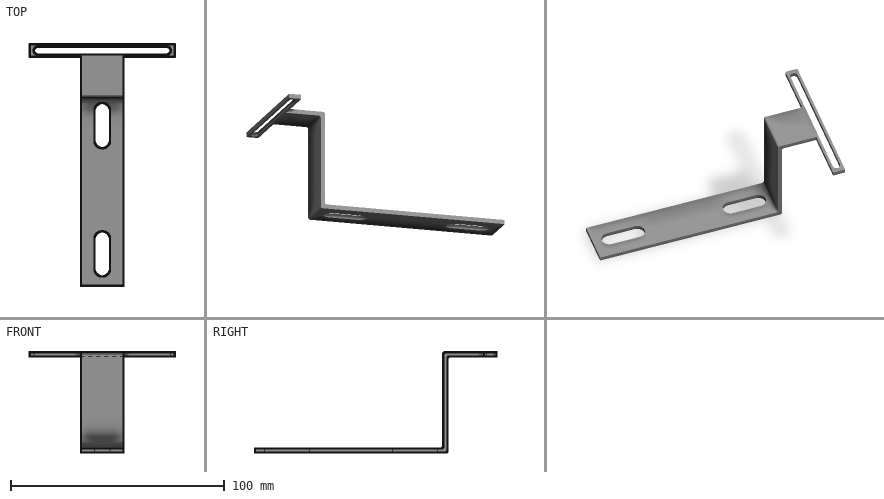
import cadquery as cq

length = 113.0
height = 47.0
crossbar_length = 68.0

thickness = 2.0
strip_width = 20.0
upper_flange_length = 25.0
bend_radius = 1.0

crossbar_depth = 6.0
crossbar_corner_radius = 0.5
crossbar_slot_length = 64.0
crossbar_slot_width = 3.5

slot_length = 21.0
slot_width = 7.2
slot_spacing = 60.0
first_slot_center = 14.9

wall_front = length - upper_flange_length
wall_back = wall_front + thickness
upper_underside = height - thickness
crossbar_center = length - crossbar_depth / 2


def make_strip():
    """Z-shaped strip with every bend rounded inside and outside."""
    profile = [
        (0, 0),
        (wall_back, 0),
        (wall_back, upper_underside),
        (length, upper_underside),
        (length, height),
        (wall_front, height),
        (wall_front, thickness),
        (0, thickness),
    ]
    strip = cq.Workplane("YZ").polyline(profile).close().extrude(strip_width / 2, both=True)
    bend_edges = cq.selectors.BoxSelector(
        (-strip_width, wall_front - thickness, -thickness),
        (strip_width, wall_back + thickness, height + thickness),
    )
    return strip.edges("|X").edges(bend_edges).fillet(bend_radius)


def make_crossbar():
    """Flat bar across the end of the upper flange, with rounded corners."""
    return (
        cq.Workplane("XY", origin=(0, crossbar_center, upper_underside))
        .rect(crossbar_length, crossbar_depth)
        .extrude(thickness)
        .edges("|Z")
        .fillet(crossbar_corner_radius)
    )


def make_slot_cutter(center_y, bottom_z, slot_size, width, angle):
    """Round-ended cutter as deep as the sheet; an angle of 0 runs along X."""
    return (
        cq.Workplane("XY", origin=(0, center_y, bottom_z))
        .slot2D(slot_size, width, angle)
        .extrude(thickness)
    )


result = make_strip().union(make_crossbar())
result = result.cut(
    make_slot_cutter(crossbar_center, upper_underside, crossbar_slot_length, crossbar_slot_width, 0)
)
for slot_center in (first_slot_center, first_slot_center + slot_spacing):
    result = result.cut(make_slot_cutter(slot_center, 0, slot_length, slot_width, 90))